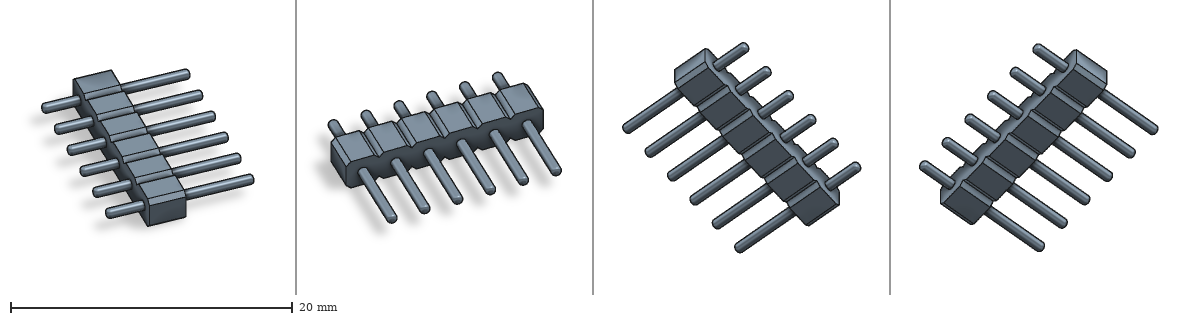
import cadquery as cq

pin_count = 6
row_length = 15.24
pitch = row_length / pin_count
body_height = pitch
body_depth = 2.79
corner_cut = 0.37

pin_diameter = 0.76
front_pin_length = 2.8
back_pin_length = 5.6
pin_end_radius = 0.26

pin_positions = [(i - (pin_count - 1) / 2) * pitch for i in range(pin_count)]


def make_segment(x):
    """One octagonal housing segment, its front face on the plane Y = 0."""
    return (
        cq.Workplane("XY")
        .box(pitch, body_depth, body_height)
        .edges("|Y")
        .chamfer(corner_cut)
        .translate((x, body_depth / 2, 0))
    )


def make_pin(x):
    """One round pin through the housing, with both ends rounded."""
    pin_length = front_pin_length + body_depth + back_pin_length
    return (
        cq.Workplane("XZ", origin=(x, -front_pin_length, 0))
        .circle(pin_diameter / 2)
        .extrude(-pin_length)
        .faces("<Y or >Y")
        .edges()
        .fillet(pin_end_radius)
    )


result = make_segment(pin_positions[0])
for position in pin_positions[1:]:
    result = result.union(make_segment(position))
result = result.clean()
for position in pin_positions:
    result = result.union(make_pin(position))